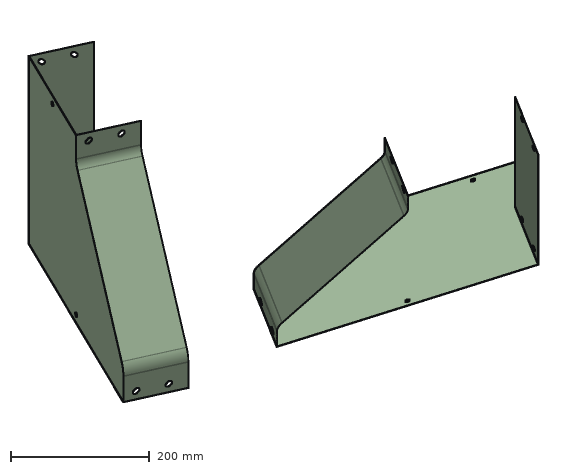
import cadquery as cq

width = 400.0
depth = 100.0
height = 340.0
sheet = 1.0

top_width = width / 2
upper_corner_z = 288.0
lower_corner_z = 59.5
upper_bend_radius = 24.0
lower_bend_radius = 32.0

hole_diameter = 7.0
hole_edge_distance = 15.0
panel_top_hole_x = width / 4
panel_bottom_hole_x = width / 2
flange_slot_ys = (20.0, 70.0)
slot_length = 11.0
slot_tilt = 45
hole_zs = (hole_edge_distance, height - hole_edge_distance)


def panel_outline():
    """Front panel, including the bends at both ends of the slope."""
    panel = (
        cq.Workplane("XZ")
        .polyline([
            (0, 0),
            (width, 0),
            (width, lower_corner_z),
            (top_width, upper_corner_z),
            (top_width, height),
            (0, height),
        ])
        .close()
        .extrude(-depth)
    )
    upper_edge = cq.selectors.NearestToPointSelector((top_width, depth / 2, upper_corner_z))
    lower_edge = cq.selectors.NearestToPointSelector((width, depth / 2, lower_corner_z))
    panel = panel.edges(upper_edge).fillet(upper_bend_radius)
    return panel.edges(lower_edge).fillet(lower_bend_radius)


def sheet_shell():
    """Folded sheet, open at the back, top and bottom."""
    return panel_outline().faces(">Y or >Z or <Z").shell(-sheet)


def panel_hole(x, z):
    """Round hole through the front panel."""
    return cq.Workplane("XZ").center(x, z).circle(hole_diameter / 2).extrude(-2 * sheet)


def flange_slots(flange_x, slot_zs, tilt):
    """Tilted slots through the flange whose outer face is at flange_x."""
    slots = cq.Workplane("YZ", origin=(flange_x, 0, 0))
    points = [(y, z) for y in flange_slot_ys for z in slot_zs]
    slots = slots.pushPoints(points).slot2D(slot_length, hole_diameter, tilt)
    return slots.extrude(2 * sheet, both=True)


bottom_hole_z, top_hole_z = hole_zs
result = (
    sheet_shell()
    .cut(panel_hole(panel_top_hole_x, top_hole_z))
    .cut(panel_hole(panel_bottom_hole_x, bottom_hole_z))
    .cut(flange_slots(0, hole_zs, 180 - slot_tilt))
    .cut(flange_slots(top_width, [top_hole_z], slot_tilt))
    .cut(flange_slots(width, [bottom_hole_z], slot_tilt))
)